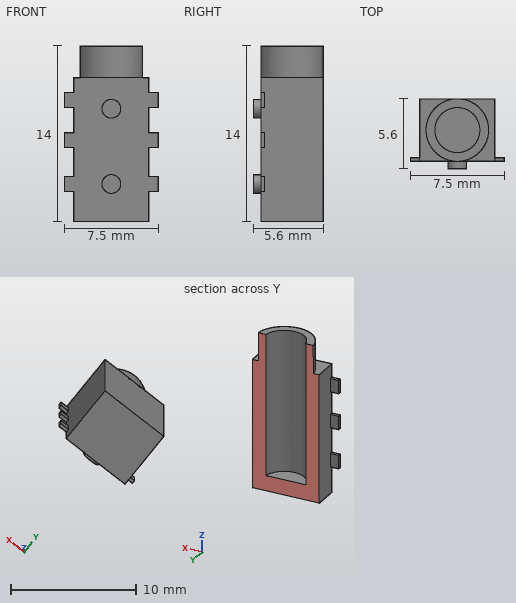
import cadquery as cq

total_height = 14.0
body_width = 6.0
body_depth = 5.0
body_height = 11.5

socket_diameter = body_depth
socket_height = total_height - body_height
bore_diameter = 3.6
floor_thickness = 1.4
bore_depth = total_height - floor_thickness

post_diameter = 1.5
post_length = 0.6
post_heights = (3.0, 9.0)

tab_span = 7.5
tab_thickness = 0.3
tab_height = 1.2
tab_centers = (3.0, 6.5, 9.7)


def make_housing():
    return cq.Workplane("XY").box(
        body_width, body_depth, body_height, centered=(True, False, False)
    )


def make_socket():
    return (
        cq.Workplane("XY", origin=(0, body_depth / 2, body_height))
        .circle(socket_diameter / 2)
        .extrude(socket_height)
    )


def make_bore():
    return (
        cq.Workplane("XY", origin=(0, body_depth / 2, total_height))
        .circle(bore_diameter / 2)
        .extrude(-bore_depth)
    )


def make_post(center_z):
    return (
        cq.Workplane("XZ", origin=(0, 0, center_z))
        .circle(post_diameter / 2)
        .extrude(post_length)
    )


def make_tab_pair(center_z):
    return cq.Workplane("XY", origin=(0, 0, center_z)).box(
        tab_span, tab_thickness, tab_height, centered=(True, False, True)
    )


result = make_housing().union(make_socket())
for height in tab_centers:
    result = result.union(make_tab_pair(height))
for height in post_heights:
    result = result.union(make_post(height))
result = result.cut(make_bore())